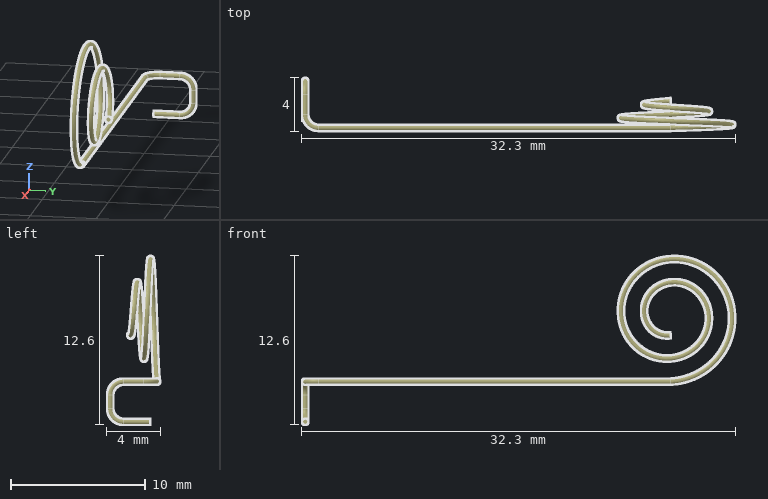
import cadquery as cq
import math

wire_diameter = 0.5
wire_radius = wire_diameter / 2

bend_radius = 1.0
shank_end_x = 27.25

hook_reach = 3.5
hook_drop = 3.0
return_leg_length = 2.0
hook_tip_y = hook_reach - bend_radius - return_leg_length

spiral_start_radius = 5.0
spiral_turns = 2
spiral_advance_per_turn = 1.0
cone_half_angle = math.radians(60)
spiral_inset_per_turn = spiral_advance_per_turn * math.tan(cone_half_angle)
spiral_curve_segments = 80

bend_mid_offset = bend_radius * (1 - math.cos(math.radians(45)))


def line(start, end):
    """Straight stretch of centre line."""
    return cq.Edge.makeLine(cq.Vector(*start), cq.Vector(*end))


def bend(start, middle, end):
    """Arc stretch of centre line."""
    return cq.Edge.makeThreePointArc(cq.Vector(*start), cq.Vector(*middle), cq.Vector(*end))


def hook_and_shank_path():
    """Centre line from the end of the shank back to the hook tip."""
    shank_end = (shank_end_x, 0, 0)
    shank_start = (bend_radius, 0, 0)
    shank_bend_middle = (bend_mid_offset, bend_mid_offset, 0)
    back_leg_start = (0, bend_radius, 0)
    back_leg_end = (0, hook_reach - bend_radius, 0)
    upper_bend_middle = (0, hook_reach - bend_mid_offset, -bend_mid_offset)
    drop_start = (0, hook_reach, -bend_radius)
    drop_end = (0, hook_reach, bend_radius - hook_drop)
    lower_bend_middle = (0, hook_reach - bend_mid_offset, bend_mid_offset - hook_drop)
    return_leg_start = (0, hook_reach - bend_radius, -hook_drop)
    hook_tip = (0, hook_tip_y, -hook_drop)
    return cq.Wire.assembleEdges([
        line(shank_end, shank_start),
        bend(shank_start, shank_bend_middle, back_leg_start),
        line(back_leg_start, back_leg_end),
        bend(back_leg_end, upper_bend_middle, drop_start),
        line(drop_start, drop_end),
        bend(drop_end, lower_bend_middle, return_leg_start),
        line(return_leg_start, hook_tip),
    ])


def spiral_point(turn):
    """Centre-line point of the spiral after the given number of turns."""
    angle = 2 * math.pi * turn
    radius = spiral_start_radius - spiral_inset_per_turn * turn
    return (
        shank_end_x + radius * math.sin(angle),
        spiral_advance_per_turn * turn,
        spiral_start_radius - radius * math.cos(angle),
    )


def wire_section():
    """Wire cross-section at the joint between shank and spiral."""
    return cq.Workplane("YZ", origin=(shank_end_x, 0, 0)).circle(wire_radius)


def hook_and_shank():
    """Straight shank with the hook at its far end."""
    return wire_section().sweep(cq.Workplane(hook_and_shank_path()))


def spiral():
    """Conical spiral, starting square to the shank end."""
    path = cq.Workplane("XY").parametricCurve(
        spiral_point, N=spiral_curve_segments, start=0, stop=spiral_turns, makeWire=True
    )
    return wire_section().sweep(path, isFrenet=True)


result = hook_and_shank().union(spiral())